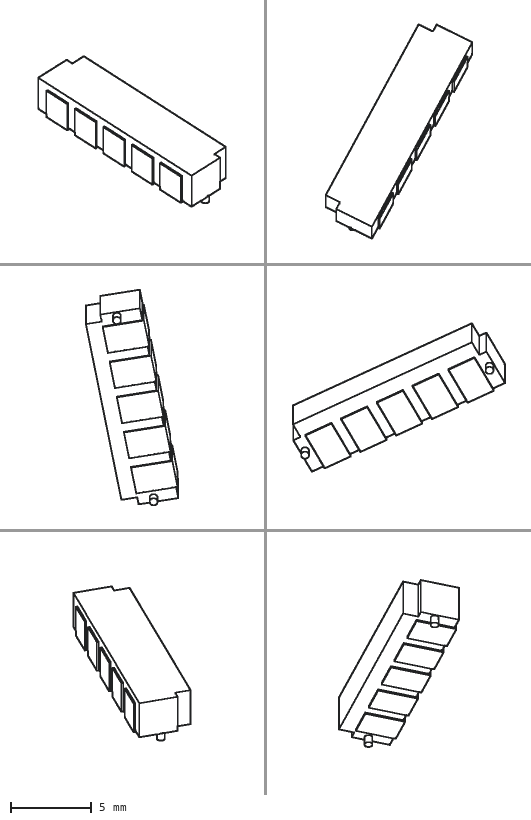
import cadquery as cq

length = 13.5
depth = 3.5
height = 2.5
notch_width = 0.5
notch_depth = 1.0

contact_count = 5
contact_pitch = 2.5
contact_width = 1.84
contact_thickness = 0.11
contact_top_gap = 0.5
contact_rear = depth - notch_depth

peg_diameter = 0.5
peg_length = 0.55
peg_spacing = 12.89
peg_setback = 1.5


def box(x_size, y_min, y_max, z_min, z_max, x_center=0.0):
    """Box centred on x_center, spanning the given Y and Z limits."""
    solid = cq.Workplane("XY").box(x_size, y_max - y_min, z_max - z_min, centered=(True, False, False))
    return solid.translate((x_center, y_min, z_min))


def make_housing():
    """Block with both rear corners notched over the full height."""
    front = box(length, 0, depth - notch_depth, 0, height)
    rear = box(length - 2 * notch_width, 0, depth, 0, height)
    return front.union(rear)


def make_contact(x_center):
    """L-shaped contact with a front leg and a foot below the housing."""
    contact_top = height - contact_top_gap
    leg = box(contact_width, -contact_thickness, 0, -contact_thickness, contact_top, x_center)
    foot = box(contact_width, -contact_thickness, contact_rear, -contact_thickness, 0, x_center)
    return leg.union(foot)


def make_peg(x_center):
    """Round peg hanging from the underside."""
    peg = cq.Workplane("XY").circle(peg_diameter / 2).extrude(-peg_length)
    return peg.translate((x_center, peg_setback, 0))


result = make_housing()
for index in range(contact_count):
    offset = index - (contact_count - 1) / 2
    result = result.union(make_contact(offset * contact_pitch))
for side in (-1, 1):
    result = result.union(make_peg(side * peg_spacing / 2))